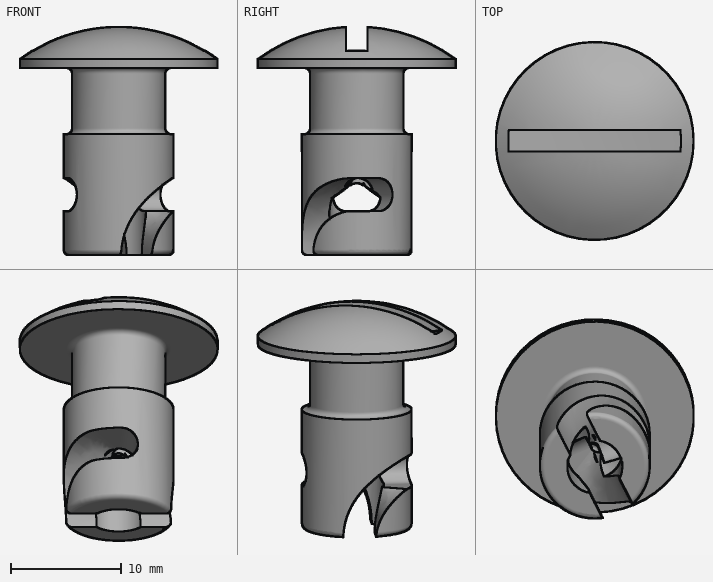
import cadquery as cq
import math

head_diameter = 18.0
head_rim_height = 0.8
total_height = 20.78
driver_slot_width = 1.95
driver_slot_floor = 17.8
driver_cutter_radius = 40.0

neck_diameter = 8.5
barrel_diameter = 10.0
barrel_top = 11.0
head_underside = 17.0
neck_fillet = 0.5
barrel_bottom_fillet = 0.5

bore_diameter = 5.0
bore_apex_height = 6.7
drill_point_angle = 118.0

cam_slot_width = 3.0
cam_level_height = 5.5
cam_bend_end_angle = 6.9
cam_end_angle = -23.0
cam_inner_radius = 0.3
cam_outer_radius = 6.0
bend_steps = 12

barrel_radius = barrel_diameter / 2
bore_radius = bore_diameter / 2
cam_half_width = cam_slot_width / 2
cam_floor_height = cam_level_height - cam_half_width


def make_stud():
    """Revolve the head, neck and barrel as one blank."""
    head_radius = head_diameter / 2
    neck_radius = neck_diameter / 2
    rim_top = head_underside + head_rim_height
    dome_height = total_height - rim_top
    dome_radius = (head_radius**2 + dome_height**2) / (2 * dome_height)
    half_chord = head_radius / 2
    dome_mid_height = total_height - dome_radius + math.sqrt(dome_radius**2 - half_chord**2)
    corner = barrel_bottom_fillet
    outline = (
        cq.Workplane("XZ")
        .lineTo(barrel_radius - corner, 0)
        .radiusArc((barrel_radius, corner), -corner)
        .lineTo(barrel_radius, barrel_top)
        .lineTo(neck_radius + neck_fillet, barrel_top)
        .radiusArc((neck_radius, barrel_top + neck_fillet), neck_fillet)
        .lineTo(neck_radius, head_underside - neck_fillet)
        .radiusArc((neck_radius + neck_fillet, head_underside), neck_fillet)
        .lineTo(head_radius, head_underside)
        .lineTo(head_radius, rim_top)
        .threePointArc((half_chord, dome_mid_height), (0, total_height))
        .close()
    )
    return outline.revolve(360, (0, 0), (0, 1))


def make_driver_slot():
    """Slot along X with a dished floor, as left by a disc cutter."""
    cutter_axis_height = driver_slot_floor + driver_cutter_radius
    return (
        cq.Workplane("XZ", origin=(0, driver_slot_width / 2, 0))
        .center(0, cutter_axis_height)
        .circle(driver_cutter_radius)
        .extrude(driver_slot_width)
    )


def make_bore():
    """Cylinder ending in a cone, on the Z axis."""
    cone_height = bore_radius / math.tan(math.radians(drill_point_angle / 2))
    return (
        cq.Workplane("XZ")
        .lineTo(bore_radius, 0)
        .lineTo(bore_radius, bore_apex_height - cone_height)
        .lineTo(0, bore_apex_height)
        .close()
        .revolve(360, (0, 0), (0, 1))
    )


def bend_wall_point(turn, side, radius):
    """Point on one wall of the bend.

    The centreline is a quarter circle on the unrolled barrel surface.  turn is the position
    round it in radians, from 0 at the mouth to pi/2 at the level run.  side is +1 for the
    upper wall and -1 for the lower one.  radius is the distance from the Z axis along the mill.
    """
    bend_arc = cam_level_height * math.cos(turn)
    angle = math.radians(cam_bend_end_angle) + bend_arc / barrel_radius
    sideways = side * cam_half_width * math.cos(turn)
    x = -radius * math.cos(angle) + sideways * math.sin(angle)
    y = radius * math.sin(angle) + sideways * math.cos(angle)
    z = (cam_level_height + side * cam_half_width) * math.sin(turn)
    return cq.Vector(x, y, z)


def make_cam_bend():
    """Bend from the open mouth up to the level run, with ruled walls."""
    turns = [step / bend_steps * math.pi / 2 for step in range(bend_steps + 1)]
    section = [
        (1, cam_outer_radius),
        (-1, cam_outer_radius),
        (-1, cam_inner_radius),
        (1, cam_inner_radius),
    ]
    rails = [
        cq.Edge.makeSpline([bend_wall_point(turn, side, radius) for turn in turns])
        for side, radius in section
    ]
    faces = [cq.Face.makeRuledSurface(a, b) for a, b in zip(rails, rails[1:] + rails[:1])]
    for turn in (turns[0], turns[-1]):
        corners = [bend_wall_point(turn, side, radius) for side, radius in section]
        faces.append(cq.Face.makeFromWires(cq.Wire.makePolygon(corners, close=True)))
    return cq.Workplane(cq.Solid.makeSolid(cq.Shell.makeShell(faces)))


def make_level_run():
    """Wedge of constant height swept about Z, from the bend to the closed end."""
    return (
        cq.Workplane("XZ", origin=(0, 0, cam_floor_height))
        .moveTo(-cam_outer_radius, 0)
        .lineTo(-cam_inner_radius, 0)
        .lineTo(-cam_inner_radius, cam_slot_width)
        .lineTo(-cam_outer_radius, cam_slot_width)
        .close()
        .revolve(cam_bend_end_angle - cam_end_angle, (0, 0), (0, 1))
        .rotate((0, 0, 0), (0, 0, 1), -cam_bend_end_angle)
    )


def make_round_end():
    """Radial cylinder that rounds off the closed end of the slot."""
    return (
        cq.Workplane("YZ", origin=(-cam_outer_radius, 0, cam_level_height))
        .circle(cam_half_width)
        .extrude(cam_outer_radius - cam_inner_radius)
        .rotate((0, 0, 0), (0, 0, 1), -cam_end_angle)
    )


result = make_stud().cut(make_driver_slot()).cut(make_bore())
for cutter in (make_cam_bend(), make_level_run(), make_round_end()):
    for half_turn in (0, 180):
        result = result.cut(cutter.rotate((0, 0, 0), (0, 0, 1), half_turn))